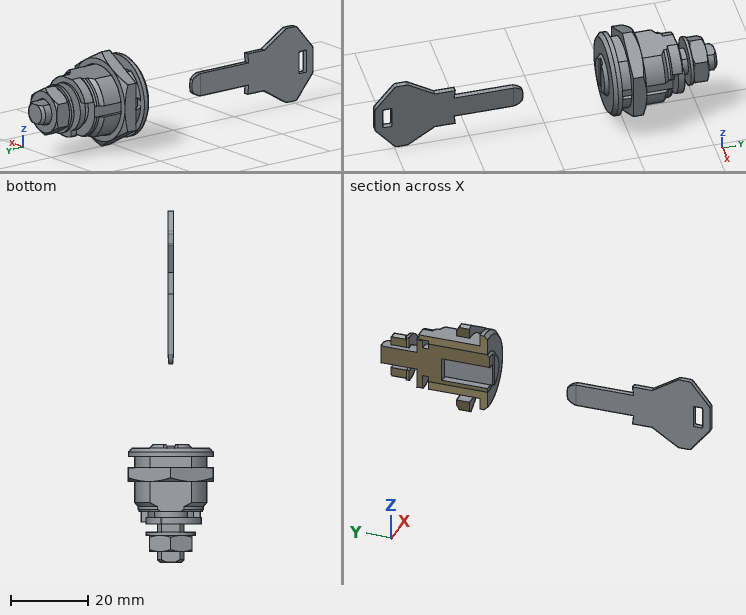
import cadquery as cq
import math


flange_radius = 11.0
flange_rim_width = 1.2
flange_front = -2.2
flange_bevel = 1.0
barrel_radius = 9.4
barrel_flat = 7.8
taper_start = 11.9
taper_end = 12.9
relief_radius = 8.5
relief_end = 13.6
barrel_end = 14.2
barrel_end_radius = 8.3
side_groove_width = 3.0
side_groove_depth = 1.3
side_groove_corner = 0.8
guard_radius = 8.1
guard_end = 16.9
guard_bottom = 2.5

plug_radius = 5.5
plug_front = -3.2
plug_bevel = flange_front - plug_front
neck_radius = 4.3
disc_radius = 6.4
disc_front = 15.7
disc_rear = 17.4
tab_radius = 7.9
tab_corner = 0.45
guard_clearance = 0.1
shank_radius = 3.45
shank_flat = 2.5
shank_end = 27.3
shank_bevel = 0.7
face_slot_width = 2.45
face_slot_depth = 0.41
keyway_width = 2.0
keyway_top = 1.8
keyway_bottom = -4.4
keyway_depth = 13.6
mark_notch_width = 3.6

panel_nut_across_corners = 25.4
panel_nut_front = 2.8
panel_nut_rear = 6.45
small_nut_across_corners = 12.7
washer_front = 19.5
washer_rear = 20.3
small_nut_rear = 24.5
washer_radius = small_nut_across_corners / 2
nut_bevel_angle = 30

set_length = 90.8
key_end = shank_end - set_length
key_thickness = 1.45
key_axis_height = -1.8
key_tip = -23.9
tip_corner = -24.1
tip_corner_half_width = 1.6
tip_round_middle = -24.9
tip_round_half_width = 2.4
tip_shoulder = -26.4
tip_thickness = 1.0
blade_half_width = 3.0
blade_root = -42.3
collar_front = -42.0
collar_half_width = 5.45
collar_end = -47.5
head_half_width = 10.0
head_wide_start = -54.8
head_wide_end = -58.0
head_end_half_width = 3.45
head_corner = 1.0
ring_hole_front = -58.9
ring_hole_length = 2.45
ring_hole_width = 5.9
ring_hole_corner = 0.4


def turned(profile):
    """Solid of revolution about Y from (radius, y) points."""
    return cq.Workplane("XY").polyline(profile).close().revolve(360, (0, 0, 0), (0, 1, 0))


def cylinder(radius, start, end):
    return turned([(0, start), (radius, start), (radius, end), (0, end)])


def block(x_range, y_range, z_range):
    """Box between the given limits."""
    size = [high - low for low, high in (x_range, y_range, z_range)]
    corner = (x_range[0], y_range[0], z_range[0])
    return cq.Workplane("XY").box(*size, centered=False).translate(corner)


def between_flats(height, start, end):
    """Slab that trims a turned part to flats at Z = -height and Z = +height."""
    reach = 2 * flange_radius
    return block((-reach, reach), (start, end), (-height, height))


def side_groove():
    """Groove cutter along the -X side of the barrel."""
    floor = barrel_radius - side_groove_depth
    half_width = side_groove_width / 2
    groove = block((-2 * barrel_radius, -floor), (0, guard_end), (-half_width, half_width))
    return groove.edges("|X and <Y").fillet(side_groove_corner)


def make_housing():
    flange = turned([
        (0, 0),
        (flange_radius, 0),
        (flange_radius, -flange_rim_width),
        (flange_radius - flange_bevel, flange_front),
        (0, flange_front),
    ])
    barrel = turned([
        (0, 0),
        (barrel_radius, 0),
        (barrel_radius, taper_start),
        (relief_radius, taper_end),
        (relief_radius, relief_end),
        (barrel_end_radius, barrel_end),
        (0, barrel_end),
    ])
    groove = side_groove()
    barrel = barrel.cut(groove).cut(groove.mirror("YZ"))
    guard = cylinder(guard_radius, barrel_end, guard_end).cut(
        cylinder(disc_radius + guard_clearance, barrel_end, guard_end)
    )
    guard = guard.intersect(
        block((-guard_radius, guard_radius), (barrel_end, guard_end), (guard_bottom, guard_radius))
    )
    body = barrel.union(guard).intersect(between_flats(barrel_flat, 0, guard_end))
    return flange.union(body).cut(cylinder(plug_radius, plug_front, barrel_end))


def stop_tab():
    """Sector at the lower +X side of the disc that meets the ends of the guard."""
    sector = cylinder(tab_radius, disc_front, disc_rear).intersect(
        block((-guard_bottom, tab_radius), (disc_front, disc_rear), (-tab_radius, guard_bottom))
    )
    lower_corner = cq.selectors.BoxSelector(
        (-guard_bottom - tab_corner, disc_front, -tab_radius),
        (-guard_bottom + tab_corner, disc_rear, -disc_radius),
    )
    upper_corner = cq.selectors.BoxSelector(
        (disc_radius, disc_front, guard_bottom - tab_corner),
        (tab_radius, disc_rear, guard_bottom + tab_corner),
    )
    return sector.edges(lower_corner + upper_corner).edges("|Y").fillet(tab_corner)


def make_plug():
    core = turned([
        (0, plug_front),
        (plug_radius - plug_bevel, plug_front),
        (plug_radius, plug_front + plug_bevel),
        (plug_radius, barrel_end),
        (neck_radius, barrel_end),
        (neck_radius, disc_front),
        (disc_radius, disc_front),
        (disc_radius, disc_rear),
        (0, disc_rear),
    ])
    shank = turned([
        (0, disc_rear),
        (shank_radius, disc_rear),
        (shank_radius, shank_end - shank_bevel),
        (shank_radius - shank_bevel, shank_end),
        (0, shank_end),
    ]).intersect(between_flats(shank_flat, disc_rear, shank_end))
    face_slot = block(
        (-face_slot_width / 2, face_slot_width / 2),
        (plug_front, plug_front + face_slot_depth),
        (-plug_radius, plug_radius),
    )
    keyway = block(
        (-keyway_width / 2, keyway_width / 2),
        (plug_front, plug_front + keyway_depth),
        (keyway_bottom, keyway_top),
    )
    mark_notch = block(
        (-mark_notch_width / 2, mark_notch_width / 2),
        (plug_front, flange_front),
        (-plug_radius, keyway_bottom),
    )
    plug = core.union(stop_tab()).union(shank)
    return plug.cut(face_slot).cut(keyway).cut(mark_notch)


def hexagon_nut(across_corners, bore_radius, front, rear, bevel_front):
    """Hexagon nut with corners at +Z and -Z, its corners bevelled at the rear or at both ends."""
    corner_radius = across_corners / 2
    flat_radius = corner_radius * math.cos(math.radians(30))
    bevel = (corner_radius - flat_radius) * math.tan(math.radians(nut_bevel_angle))
    rear_bevel = [(corner_radius, rear - bevel), (flat_radius, rear)]
    front_corner = [(corner_radius, front)]
    if bevel_front:
        front_corner = [(flat_radius, front), (corner_radius, front + bevel)]
    envelope = turned([(0, front), *front_corner, *rear_bevel, (0, rear)])
    prism = (
        cq.Workplane("XZ", origin=(0, rear, 0))
        .transformed(rotate=(0, 0, 90))
        .polygon(6, across_corners)
        .extrude(rear - front)
    )
    return prism.intersect(envelope).cut(cylinder(bore_radius, front, rear))


def make_washer():
    ring = cylinder(washer_radius, washer_front, washer_rear)
    return ring.cut(cylinder(shank_radius, washer_front, washer_rear))


def key_plan(points):
    """Plate of the key's thickness from (y, z) points on the +Z half of a symmetric outline."""
    mirrored = [(y, -z) for y, z in reversed(points)]
    return (
        cq.Workplane("YZ")
        .polyline(points + mirrored)
        .close()
        .extrude(key_thickness / 2, both=True)
    )


def tip_taper():
    """Wedge-ended envelope that thins the blade on both faces towards its tip."""
    full = key_thickness / 2
    thin = tip_thickness / 2
    return (
        cq.Workplane("XY")
        .polyline([
            (-full, key_end),
            (-full, tip_shoulder),
            (-thin, key_tip),
            (thin, key_tip),
            (full, tip_shoulder),
            (full, key_end),
        ])
        .close()
        .extrude(head_half_width, both=True)
    )


def make_key():
    head = key_plan([
        (collar_end, collar_half_width),
        (head_wide_start, head_half_width),
        (head_wide_end, head_half_width),
        (key_end, head_end_half_width),
    ])
    rounded_part = cq.selectors.BoxSelector(
        (-key_thickness, key_end - head_corner, -2 * head_half_width),
        (key_thickness, head_wide_start + head_corner, 2 * head_half_width),
    )
    head = head.edges("|X").edges(rounded_part).fillet(head_corner)
    collar = key_plan([
        (blade_root, blade_half_width),
        (collar_front, collar_half_width),
        (collar_end, collar_half_width),
    ])
    blade = (
        cq.Workplane("YZ")
        .moveTo(blade_root, blade_half_width)
        .lineTo(tip_shoulder, blade_half_width)
        .threePointArc((tip_round_middle, tip_round_half_width), (tip_corner, tip_corner_half_width))
        .threePointArc((key_tip, 0), (tip_corner, -tip_corner_half_width))
        .threePointArc((tip_round_middle, -tip_round_half_width), (tip_shoulder, -blade_half_width))
        .lineTo(blade_root, -blade_half_width)
        .close()
        .extrude(key_thickness / 2, both=True)
    )
    ring_hole = block(
        (-key_thickness, key_thickness),
        (ring_hole_front - ring_hole_length, ring_hole_front),
        (-ring_hole_width / 2, ring_hole_width / 2),
    ).edges("|X").fillet(ring_hole_corner)
    key = head.union(collar).union(blade).intersect(tip_taper()).cut(ring_hole)
    return key.translate((0, 0, key_axis_height))


housing = make_housing()
plug = make_plug()
panel_nut = hexagon_nut(
    panel_nut_across_corners, barrel_radius, panel_nut_front, panel_nut_rear, bevel_front=False
)
washer = make_washer()
small_nut = hexagon_nut(
    small_nut_across_corners, shank_radius, washer_rear, small_nut_rear, bevel_front=True
)
key = make_key()

result = cq.Compound.makeCompound([
    housing.val(),
    plug.val(),
    panel_nut.val(),
    washer.val(),
    small_nut.val(),
    key.val(),
])